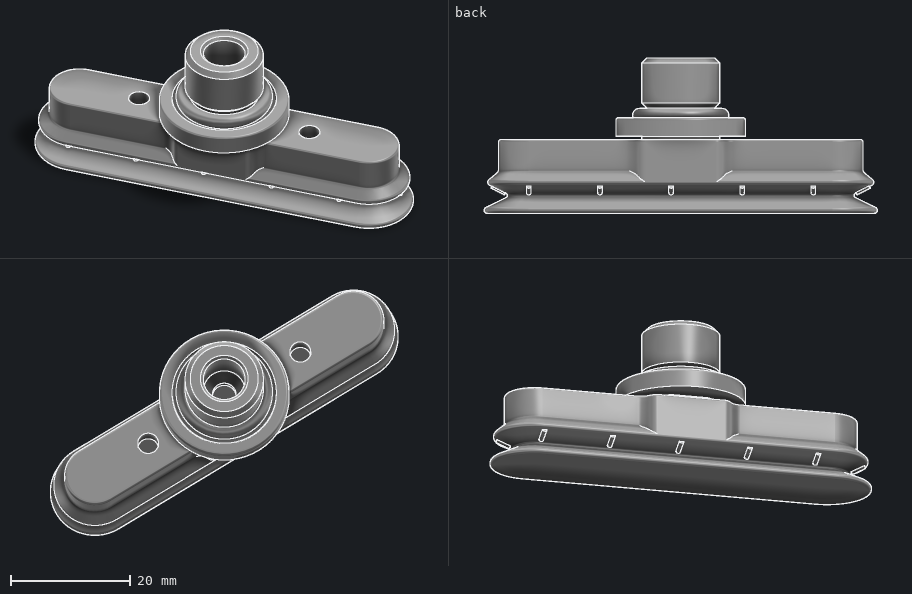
import cadquery as cq
import math


end_center_x = 25.5
bottom_lip_half_width = 7.5
bottom_lip_radius = 0.55
upper_lip_half_width = 6.9
upper_lip_radius = 0.6
upper_lip_z = 5.25
waist_half_width = 7.19 / 2
bellows_slope = 26
shoulder_slope = 40
wall_half_width = 5.1
wall_root_radius = 0.6
cup_top_z = 12.45
cup_top_fillet = 0.5

pad_foot_x = 7.97
pad_side_slope = 50
pad_inner_radius = 2.0
pad_outer_radius = 1.2

rib_count = 12
rib_radius = 0.4
rib_inset = 0.25
locating_hole_diameter = 3.5
locating_hole_x = 15
locating_hole_depth = 4

insert_diameter = 13.16
insert_across_flats = 11.4
insert_corner_radius = 2
insert_top_fillet = 0.2
insert_top_z = 12.95
insert_embedded_depth = 4

fitting_top_z = 26.12
stem_diameter = 13.16
neck_diameter = 11.4
stem_bottom_z = 18.56
stem_top_chamfer = 0.88
flange_diameter = 21.8
flange_top_z = 16.1
flange_edge_fillet = 0.5
groove_diameter = 17.5
groove_fillet = 0.3
bore_diameter = 7
bore_mouth_diameter = 8
bore_depth = 9
outlet_diameter = 4
drill_tip_slope = 30

seal_section_radius = 1.2
seal_center_z = 16.46

upper_lip_center = (upper_lip_half_width - upper_lip_radius, upper_lip_z)
bottom_lip_center = (bottom_lip_half_width - bottom_lip_radius, bottom_lip_radius)
seal_center_radius = neck_diameter / 2 + seal_section_radius
groove_floor_z = seal_center_z - seal_section_radius


def polar(center, radius, degrees):
    """Point at the given distance and angle from a centre."""
    angle = math.radians(degrees)
    return (center[0] + radius * math.cos(angle), center[1] + radius * math.sin(angle))


def rise(run, slope):
    """Height gained over a horizontal run on a slope in degrees."""
    return run * math.tan(math.radians(slope))


bottom_lip_top = polar(bottom_lip_center, bottom_lip_radius, 90 - bellows_slope)
upper_lip_bottom = polar(upper_lip_center, upper_lip_radius, bellows_slope - 90)
upper_lip_top = polar(upper_lip_center, upper_lip_radius, 90 - shoulder_slope)

flank_bottom_z = bottom_lip_top[1] + rise(bottom_lip_top[0] - waist_half_width, bellows_slope)
flank_top_z = upper_lip_bottom[1] - rise(upper_lip_bottom[0] - waist_half_width, bellows_slope)
slope_angle = math.radians(bellows_slope)
waist_radius = (flank_top_z - flank_bottom_z) / 2 / (
    math.cos(slope_angle) - (1 - math.sin(slope_angle)) * math.tan(slope_angle)
)
waist_center = (waist_half_width + waist_radius, (flank_top_z + flank_bottom_z) / 2)
waist_bottom = polar(waist_center, waist_radius, 270 - bellows_slope)
waist_top = polar(waist_center, waist_radius, 90 + bellows_slope)


def bellows_profile():
    """Right half of the bellows cross-section, from the sealing face to the wall root."""
    corner_z = upper_lip_top[1] + rise(upper_lip_top[0] - wall_half_width, shoulder_slope)
    root_setback = rise(wall_root_radius, (90 - shoulder_slope) / 2)
    root_center = (wall_half_width + wall_root_radius, corner_z + root_setback)
    root_start = polar(root_center, wall_root_radius, 270 - shoulder_slope)
    root_middle = polar(root_center, wall_root_radius, 225 - shoulder_slope / 2)
    return (
        cq.Workplane("XZ")
        .moveTo(0, 0)
        .lineTo(bottom_lip_center[0], 0)
        .threePointArc(polar(bottom_lip_center, bottom_lip_radius, 0), bottom_lip_top)
        .lineTo(*waist_bottom)
        .threePointArc(polar(waist_center, waist_radius, 180), waist_top)
        .lineTo(*upper_lip_bottom)
        .threePointArc(polar(upper_lip_center, upper_lip_radius, 0), upper_lip_top)
        .lineTo(*root_start)
        .threePointArc(root_middle, (wall_half_width, root_center[1]))
        .lineTo(0, root_center[1])
        .close()
    )


def bellows():
    """Bellows section swept round an oblong: a straight middle and two round ends."""
    round_end = bellows_profile().revolve(360, (0, 0), (0, 1))
    middle_half = (
        bellows_profile()
        .extrude(end_center_x, both=True)
        .rotate((0, 0, 0), (0, 0, 1), 90)
    )
    body = middle_half.union(middle_half.mirror("XZ"))
    for side in (-1, 1):
        body = body.union(round_end.translate((side * end_center_x, 0, 0)))
    return body


def label_pad():
    """Pad across the cup whose sloped sides blend into both long walls."""
    side_run = (upper_lip_half_width - wall_half_width) / rise(1, pad_side_slope)
    crest_x = pad_foot_x - side_run
    return (
        cq.Workplane("XY")
        .workplane(offset=upper_lip_z)
        .moveTo(-pad_foot_x, wall_half_width)
        .lineTo(-crest_x, upper_lip_half_width)
        .lineTo(crest_x, upper_lip_half_width)
        .lineTo(pad_foot_x, wall_half_width)
        .lineTo(pad_foot_x, -wall_half_width)
        .lineTo(crest_x, -upper_lip_half_width)
        .lineTo(-crest_x, -upper_lip_half_width)
        .lineTo(-pad_foot_x, -wall_half_width)
        .close()
        .extrude(cup_top_z - upper_lip_z)
    )


def vertical_edges_at(half_width):
    """Selects the upright edges at the given distance from the XZ plane, on both sides."""
    margin = 0.05
    box_x = pad_foot_x + margin
    boxes = []
    for y in (-half_width, half_width):
        boxes.append(cq.selectors.BoxSelector(
            (-box_x, y - margin, upper_lip_z),
            (box_x, y + margin, cup_top_z),
        ))
    return boxes[0] + boxes[1]


def upper_block():
    """Oblong top of the cup with its label pads and rounded upper edge."""
    oblong = (
        cq.Workplane("XY")
        .workplane(offset=upper_lip_z)
        .slot2D(2 * (end_center_x + wall_half_width), 2 * wall_half_width)
        .extrude(cup_top_z - upper_lip_z)
    )
    block = oblong.union(label_pad())
    block = block.edges("|Z").edges(vertical_edges_at(wall_half_width)).fillet(pad_inner_radius)
    block = block.edges("|Z").edges(vertical_edges_at(upper_lip_half_width)).fillet(pad_outer_radius)
    return block.faces(">Z").edges().fillet(cup_top_fillet)


def rib_station(distance):
    """Place and outward angle on the oblong line under the upper lip.

    Distance runs anticlockwise from the start of the -Y straight side.
    """
    straight = 2 * end_center_x
    half_turn = math.pi * upper_lip_bottom[0]
    if distance < straight:
        return (-end_center_x + distance, -90)
    distance -= straight
    if distance < half_turn:
        return (end_center_x, -90 + 180 * distance / half_turn)
    distance -= half_turn
    if distance < straight:
        return (end_center_x - distance, 90)
    distance -= straight
    return (-end_center_x, 90 + 180 * distance / half_turn)


def ribs():
    """Small round ribs running down the cone below the upper lip."""
    rib_run = upper_lip_bottom[0] - waist_top[0] - 2 * rib_inset
    rib_rise = rise(rib_run, bellows_slope)
    rib = cq.Solid.makeCylinder(
        rib_radius,
        math.hypot(rib_run, rib_rise),
        cq.Vector(waist_top[0] + rib_inset, 0, waist_top[1] + rise(rib_inset, bellows_slope)),
        cq.Vector(rib_run, 0, rib_rise),
    )
    path_length = 4 * end_center_x + 2 * math.pi * upper_lip_bottom[0]
    placed_ribs = []
    for index in range(rib_count):
        center_x, angle = rib_station(index * path_length / rib_count)
        placed = rib.rotate(cq.Vector(0, 0, 0), cq.Vector(0, 0, 1), angle)
        placed_ribs.append(placed.translate(cq.Vector(center_x, 0, 0)))
    return placed_ribs


def make_insert():
    """Disc with two flats facing the long sides, let into the cup top."""
    bottom_z = cup_top_z - insert_embedded_depth
    disc = (
        cq.Workplane("XY")
        .workplane(offset=bottom_z)
        .circle(insert_diameter / 2)
        .extrude(insert_top_z - bottom_z)
    )
    flats = cq.Workplane("XY").box(insert_diameter, insert_across_flats, 2 * insert_top_z)
    body = disc.intersect(flats)
    body = body.edges("|Z").edges("<Y or >Y").fillet(insert_corner_radius)
    return body.faces(">Z").edges().fillet(insert_top_fillet)


def make_cup(insert_body):
    """Bellows cup with ribs, locating holes and the recess for the insert."""
    body = bellows().union(upper_block())
    for rib in ribs():
        body = body.union(cq.Workplane(rib))
    locating_holes = (
        cq.Workplane("XY")
        .workplane(offset=cup_top_z)
        .pushPoints([(-locating_hole_x, 0), (locating_hole_x, 0)])
        .circle(locating_hole_diameter / 2)
        .extrude(-locating_hole_depth)
    )
    return body.cut(locating_holes).cut(insert_body)


def make_fitting():
    """Turned fitting: flange with seal groove, neck, stem and stepped bore."""
    neck_radius = neck_diameter / 2
    stem_radius = stem_diameter / 2
    flange_radius = flange_diameter / 2
    bore_radius = bore_diameter / 2
    mouth_radius = bore_mouth_diameter / 2
    outlet_radius = outlet_diameter / 2
    bore_floor_z = fitting_top_z - bore_depth
    outlet_top_z = bore_floor_z - rise(bore_radius - outlet_radius, 90 - drill_tip_slope)

    groove_corner = (groove_diameter / 2 - groove_fillet, groove_floor_z + groove_fillet)
    rim_corner = (flange_radius - flange_edge_fillet, flange_top_z - flange_edge_fillet)
    return (
        cq.Workplane("XZ")
        .moveTo(outlet_radius, insert_top_z)
        .lineTo(flange_radius, insert_top_z)
        .lineTo(flange_radius, rim_corner[1])
        .threePointArc(polar(rim_corner, flange_edge_fillet, 45), (rim_corner[0], flange_top_z))
        .lineTo(groove_diameter / 2, flange_top_z)
        .lineTo(groove_diameter / 2, groove_corner[1])
        .threePointArc(polar(groove_corner, groove_fillet, -45), (groove_corner[0], groove_floor_z))
        .lineTo(neck_radius, groove_floor_z)
        .lineTo(neck_radius, stem_bottom_z - (stem_radius - neck_radius))
        .lineTo(stem_radius, stem_bottom_z)
        .lineTo(stem_radius, fitting_top_z - stem_top_chamfer)
        .lineTo(stem_radius - stem_top_chamfer, fitting_top_z)
        .lineTo(mouth_radius, fitting_top_z)
        .lineTo(bore_radius, fitting_top_z - (mouth_radius - bore_radius))
        .lineTo(bore_radius, bore_floor_z)
        .lineTo(outlet_radius, outlet_top_z)
        .close()
        .revolve(360, (0, 0), (0, 1))
    )


def make_seal():
    """Round-section sealing ring lying in the flange groove around the neck."""
    return (
        cq.Workplane("XZ")
        .center(seal_center_radius, seal_center_z)
        .circle(seal_section_radius)
        .revolve(360, (-seal_center_radius, 0), (-seal_center_radius, 1))
    )


insert = make_insert()
cup = make_cup(insert)
fitting = make_fitting()
seal = make_seal()

result = cq.Compound.makeCompound([cup.val(), insert.val(), fitting.val(), seal.val()])